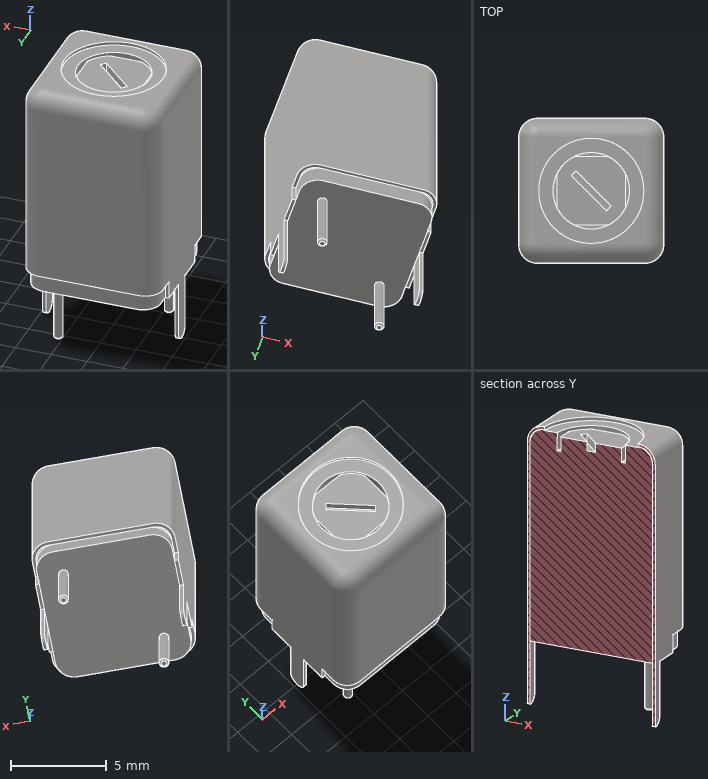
import cadquery as cq


can_width = 7.6
sheet = 0.2
outer_radius = 1.0
inner_radius = outer_radius - sheet
can_bottom = 1.0
can_top = 12.1
opening_diameter = 5.5
flap_width = 3.9
tab_width = 1.0

lead_length = 3.51

body_width = can_width - 2 * sheet
body_top = can_top - sheet
foot_radius = 1.0
well_diameter = 4.0
well_depth = 1.0
core_width = 3.6
core_recess = 0.2
slot_length = 2.6
slot_width = 0.35
slot_depth = 0.5
slot_angle = -45

pin_diameter = 0.5
pin_offset = 2.25
pin_embed = 1.0
pin_chamfer = 0.1


def square_column(width, bottom, top):
    return cq.Workplane("XY", origin=(0, 0, bottom)).rect(width, width).extrude(top - bottom)


def rounded_block(width, bottom, top, radius):
    """Square block with rounded upright edges and a rounded top rim."""
    block = square_column(width, bottom, top)
    return block.edges("|Z or >Z").fillet(radius)


def round_column(diameter, bottom, top):
    return cq.Workplane("XY", origin=(0, 0, bottom)).circle(diameter / 2).extrude(top - bottom)


def make_side_strip(low_x):
    """Flap beside the body foot, narrowing to a round-ended solder tab."""
    half_flap = flap_width / 2
    half_tab = tab_width / 2
    tab_arc_start = -lead_length + half_tab
    return (
        cq.Workplane("YZ", origin=(low_x, 0, 0))
        .moveTo(-half_flap, can_bottom)
        .lineTo(-half_flap, 0)
        .lineTo(-half_tab, 0)
        .lineTo(-half_tab, tab_arc_start)
        .threePointArc((0, -lead_length), (half_tab, tab_arc_start))
        .lineTo(half_tab, 0)
        .lineTo(half_flap, 0)
        .lineTo(half_flap, can_bottom)
        .close()
        .extrude(sheet)
    )


def make_can():
    can = rounded_block(can_width, can_bottom, can_top, outer_radius)
    can = can.cut(rounded_block(body_width, can_bottom, body_top, inner_radius))
    can = can.cut(round_column(opening_diameter, body_top, can_top))
    for low_x in (-can_width / 2, body_width / 2):
        can = can.union(make_side_strip(low_x))
    return can


def make_pin(x, y):
    pin = round_column(pin_diameter, -lead_length, pin_embed)
    return pin.faces("<Z").chamfer(pin_chamfer).translate((x, y, 0))


def make_body(pins):
    body = rounded_block(body_width, can_bottom, body_top, inner_radius)
    foot = square_column(body_width, 0, can_bottom).edges("|Z").fillet(foot_radius)
    body = body.union(foot)

    well_floor = body_top - well_depth
    core_top = body_top - core_recess
    core = square_column(core_width, well_floor, core_top)
    core = core.intersect(round_column(well_diameter, well_floor, core_top))
    body = body.cut(round_column(well_diameter, well_floor, body_top)).union(core)

    slot = (
        cq.Workplane("XY", origin=(0, 0, core_top - slot_depth))
        .rect(slot_length, slot_width)
        .extrude(slot_depth)
        .rotate((0, 0, 0), (0, 0, 1), slot_angle)
    )
    body = body.cut(slot)

    for pin in pins:
        body = body.cut(pin)
    return body


can = make_can()
pins = [make_pin(side * pin_offset, side * pin_offset) for side in (-1, 1)]
body = make_body(pins)

result = cq.Compound.makeCompound([can.val(), body.val(), *[pin.val() for pin in pins]])